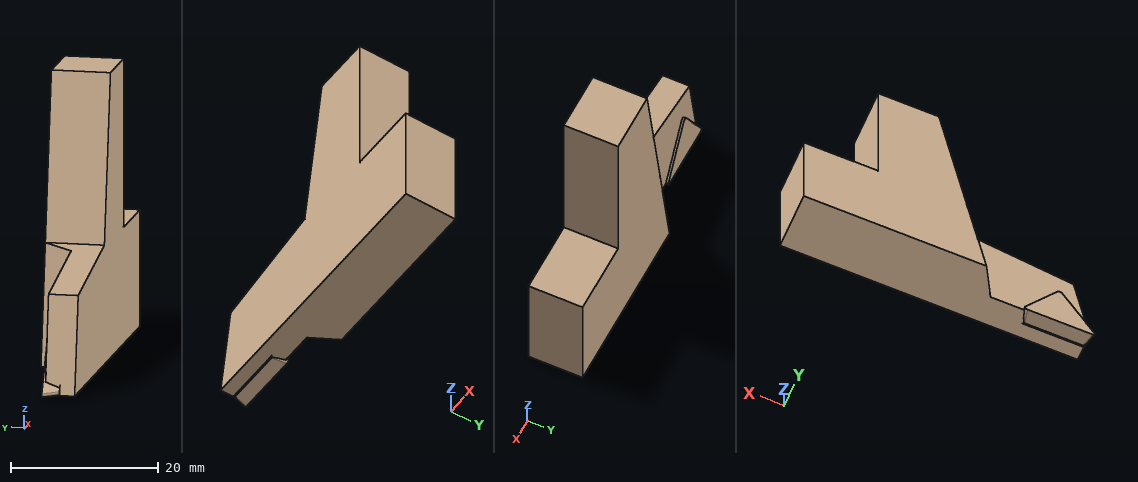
import cadquery as cq
import math

length = 44.65
thickness = 8.2
height = 39.75
rake_angle = math.radians(10)
base_left = 0.63
nose_height = 13.55
shoulder_x = 20.6
stem_right = 33.65
ledge_height = 16.25

nose_top_x = base_left + nose_height * math.tan(rake_angle)
shoulder_height = nose_height + (shoulder_x - nose_top_x) * math.tan(rake_angle)
stem_left = shoulder_x + (height - shoulder_height) * math.tan(rake_angle)

arm_thickness = thickness / 2
relief_angle = math.radians(30)

insert_side = 11.0
nose_radius = 0.4
insert_thickness = 2.35
insert_back = 4.45
insert_overhang = 0.25
clearance_angle = 7.0


def make_blank():
    outline = [
        (base_left, 0),
        (length, 0),
        (length, ledge_height),
        (stem_right, ledge_height),
        (stem_right, height),
        (stem_left, height),
        (shoulder_x, shoulder_height),
        (nose_top_x, nose_height),
    ]
    return cq.Workplane("XZ").polyline(outline).close().extrude(-thickness)


def make_relief():
    """Space behind the arm, closed by a wall slanted in plan and leaning with the stem."""
    depth = thickness - arm_thickness
    back_top = shoulder_x
    front_top = back_top - depth * math.tan(relief_angle)
    lean = shoulder_height * math.tan(rake_angle)

    def section(shift):
        return [
            (0, arm_thickness),
            (front_top - shift, arm_thickness),
            (back_top - shift, thickness),
            (0, thickness),
        ]

    return (
        cq.Workplane("XY")
        .polyline(section(lean)).close()
        .workplane(offset=shoulder_height)
        .polyline(section(0)).close()
        .loft(ruled=True)
    )


def make_insert():
    """Rounded triangle that narrows from its large back face toward the front."""
    triangle = [
        (0, -insert_overhang),
        (insert_side, -insert_overhang),
        (insert_side / 2, -insert_overhang + insert_side * math.sin(math.pi / 3)),
    ]
    rounded = (
        cq.Workplane("XZ", origin=(0, insert_back, 0))
        .polyline(triangle).close()
        .extrude(insert_thickness, taper=clearance_angle)
        .edges("not (<Y or >Y)")
        .fillet(nose_radius)
    )
    return rounded.translate((-rounded.val().BoundingBox().xmin, 0, 0))


insert = make_insert()
holder = make_blank().cut(make_relief()).cut(insert)

result = cq.Compound.makeCompound([holder.solids().val(), insert.solids().val()])